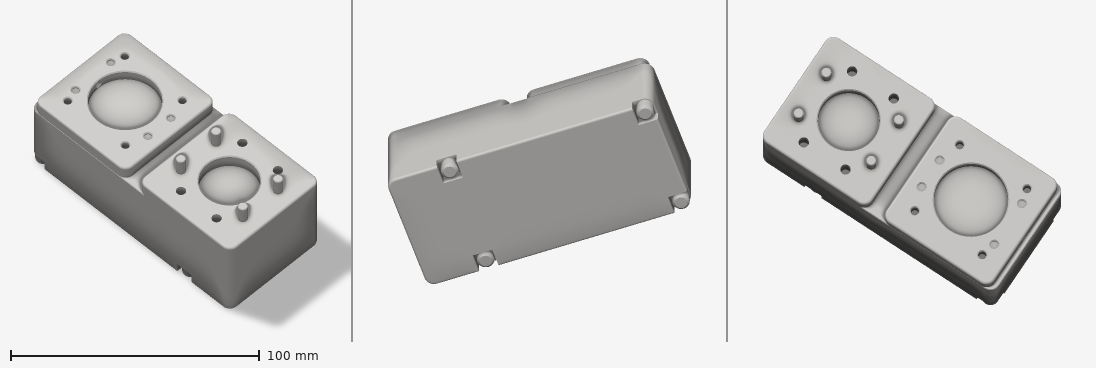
import cadquery as cq

length = 113.0
width = 52.0
base_height = 33.0
top_height = 39.0
corner_radius = 4.0
edge_round = 1.0
step_chamfer = 0.3

pad_inset = 2.0
mid_y = width / 2
plate_x = pad_inset + width / 2
raised_x = length - width / 2
raised_start = length - width

plate_pocket_diameter = 30.0
raised_pocket_diameter = 25.0
plate_pocket_depth = 5.0
raised_pocket_depth = top_height - base_height
mouth_chamfer = 0.5

screw_hole_diameter = 3.3
screw_hole_depth = top_height - base_height
shallow_hole_depth = 1.0
plain_hole_diameter = 4.2
plain_hole_depth = 10.0
plate_corner_offset = 16.3
plate_left_pair = (-18.0, 10.1)
plate_right_pair = (19.4, 6.5)
plain_hole_offset = (10.1, 17.5)

pin_diameter = 4.0
pin_height = 7.8
pin_chamfer = 0.3
pin_offset = (17.5, 10.1)

foot_diameter = 7.0
foot_chamfer = 1.0
notch_size = 8.4
notch_height = 5.2
foot_inset = corner_radius


def rounded_block(x_start, x_end, z_start, z_end):
    """Full-width block with rounded vertical corners."""
    return (
        cq.Workplane("XY", origin=((x_start + x_end) / 2, mid_y, z_start))
        .rect(x_end - x_start, width)
        .extrude(z_end - z_start)
        .edges("|Z")
        .fillet(corner_radius)
    )


def mirrored(center_x, dx, dy):
    """Points at +-dx and +-dy about a pad centre."""
    return [(center_x + sx * dx, mid_y + sy * dy) for sx in (-1, 1) for sy in (-1, 1)]


def pair(center_x, dx, dy):
    """Two points at one X offset and at +-dy about a pad centre."""
    return [(center_x + dx, mid_y + sy * dy) for sy in (-1, 1)]


def hole_cutter(diameter, depth, mouth=0.0):
    """Blind hole cutter hanging below the origin, with an optional mouth chamfer."""
    cutter = cq.Workplane("XY").circle(diameter / 2).extrude(-depth)
    if mouth:
        flare = cq.Solid.makeCone(diameter / 2 + mouth, diameter / 2, mouth, dir=cq.Vector(0, 0, -1))
        cutter = cutter.union(cq.Workplane(flare))
    return cutter


def make_body():
    base = rounded_block(0, length, 0, base_height)
    base = base.faces("<Z").edges().fillet(edge_round)
    base = base.faces(">Z").edges().chamfer(step_chamfer)
    plate = rounded_block(pad_inset, pad_inset + width, base_height, top_height)
    plate = plate.faces(">Z").edges().fillet(edge_round)
    raised = rounded_block(raised_start, length, base_height - step_chamfer, top_height)
    raised = raised.faces(">Z").edges().fillet(edge_round)
    return base.union(plate).union(raised)


def cut_from_top(body, cutter, points):
    for x, y in points:
        body = body.cut(cutter.translate((x, y, top_height)))
    return body


def cut_pockets(body):
    plate_cutter = hole_cutter(plate_pocket_diameter, plate_pocket_depth, mouth_chamfer)
    body = cut_from_top(body, plate_cutter, [(plate_x, mid_y)])
    raised_cutter = hole_cutter(raised_pocket_diameter, raised_pocket_depth, mouth_chamfer)
    return cut_from_top(body, raised_cutter, [(raised_x, mid_y)])


def cut_small_holes(body):
    screw_points = mirrored(plate_x, plate_corner_offset, plate_corner_offset)
    screw_cutter = hole_cutter(screw_hole_diameter, screw_hole_depth, mouth_chamfer)
    body = cut_from_top(body, screw_cutter, screw_points)
    shallow_points = pair(plate_x, *plate_left_pair) + pair(plate_x, *plate_right_pair)
    shallow_cutter = hole_cutter(screw_hole_diameter, shallow_hole_depth, mouth_chamfer)
    body = cut_from_top(body, shallow_cutter, shallow_points)
    plain_points = mirrored(raised_x, *plain_hole_offset)
    return cut_from_top(body, hole_cutter(plain_hole_diameter, plain_hole_depth), plain_points)


def cut_side_hole(body):
    """Hole from the left edge of the plate into its round pocket."""
    cutter = hole_cutter(screw_hole_diameter, plate_x - pad_inset, mouth_chamfer)
    cutter = cutter.rotate((0, 0, 0), (0, 1, 0), -90)
    return body.cut(cutter.translate((pad_inset, mid_y, (base_height + top_height) / 2)))


def add_pins(body):
    pins = (
        cq.Workplane("XY", origin=(0, 0, top_height))
        .pushPoints(mirrored(raised_x, *pin_offset))
        .circle(pin_diameter / 2)
        .extrude(pin_height)
        .faces(">Z")
        .edges()
        .chamfer(pin_chamfer)
    )
    return body.union(pins)


def add_feet(body):
    points = [(x, y) for x in (foot_inset, raised_x) for y in (foot_inset, width - foot_inset)]
    notches = cq.Workplane("XY").pushPoints(points).rect(notch_size, notch_size).extrude(notch_height)
    feet = (
        cq.Workplane("XY")
        .pushPoints(points)
        .circle(foot_diameter / 2)
        .extrude(notch_height)
        .faces("<Z")
        .edges()
        .chamfer(foot_chamfer)
    )
    return body.cut(notches).union(feet)


result = add_feet(add_pins(cut_side_hole(cut_small_holes(cut_pockets(make_body())))))